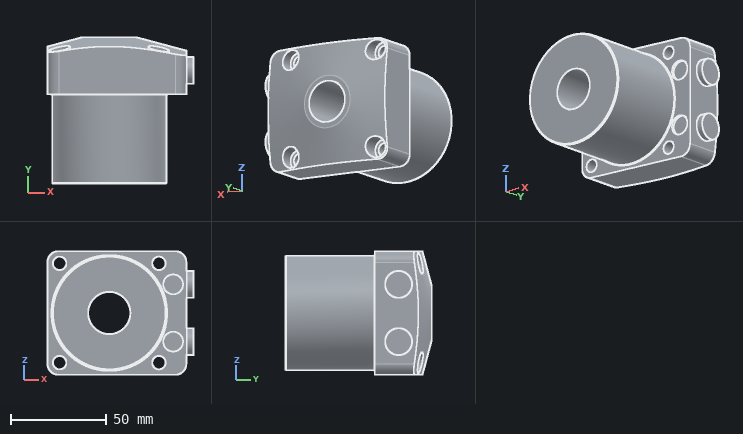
import cadquery as cq
import math


overall_length = 77.0
flange_thickness = 30.0
flange_height = 65.0
flange_left = 32.5
flange_right = 40.5
flange_width = flange_left + flange_right
flange_corner_radius = 6.0

back_flat_radius = 14.0
back_cone_angle = 15.0

barrel_length = overall_length - flange_thickness
barrel_diameter = 60.05
barrel_collar_diameter = 60.8
barrel_collar_length = 0.3
barrel_end_chamfer = 0.55
bore_diameter = 22.0

mounting_hole_diameter = 6.9
mounting_hole_spacing = 52.05
counterbore_diameter = 11.0
counterbore_floor_y = flange_thickness / 2

port_spacing = 30.0
recess_diameter = 10.4
recess_depth = 1.5
recess_x = 33.5
plug_diameter = 14.25
plug_length = 3.8
plug_y = 12.55
plug_chamfer_length = 0.5
plug_chamfer_inset = 0.115

port_heights = [-port_spacing / 2, port_spacing / 2]


def y_cylinder(diameter, start_y, length, x=0.0, z=0.0):
    """A cylinder along Y that starts at start_y and extends toward +Y."""
    base = cq.Plane(origin=(x, start_y, z), xDir=(1, 0, 0), normal=(0, 1, 0))
    return cq.Workplane(base).circle(diameter / 2).extrude(length)


def make_flange_block():
    """Rectangular flange with its four corners rounded along Y."""
    center_x = (flange_right - flange_left) / 2
    return (
        cq.Workplane("XY")
        .box(flange_width, flange_thickness, flange_height)
        .translate((center_x, flange_thickness / 2, 0))
        .edges("|Y")
        .fillet(flange_corner_radius)
    )


def make_back_envelope():
    """Solid of revolution about Y: a cone topped by the round flat of the flange's back."""
    outer_radius = math.hypot(flange_right, flange_height / 2)
    cone_drop = (outer_radius - back_flat_radius) * math.tan(math.radians(back_cone_angle))
    return (
        cq.Workplane("XY")
        .moveTo(0, 0)
        .lineTo(outer_radius, 0)
        .lineTo(outer_radius, flange_thickness - cone_drop)
        .lineTo(back_flat_radius, flange_thickness)
        .lineTo(0, flange_thickness)
        .close()
        .revolve(360, (0, 0, 0), (0, 1, 0))
    )


def make_barrel():
    """Barrel with a chamfered free end and a thin collar against the mounting face."""
    barrel = (
        y_cylinder(barrel_diameter, -barrel_length, barrel_length)
        .faces("<Y")
        .chamfer(barrel_end_chamfer)
    )
    collar = y_cylinder(barrel_collar_diameter, -barrel_collar_length, barrel_collar_length)
    return barrel.union(collar)


def make_housing():
    """Flange and barrel in one piece, with the bore, mounting holes and port recesses."""
    body = make_flange_block().intersect(make_back_envelope()).union(make_barrel())
    body = body.cut(y_cylinder(bore_diameter, -barrel_length, overall_length))

    counterbore_depth = flange_thickness - counterbore_floor_y
    hole_offset = mounting_hole_spacing / 2
    for x in (-hole_offset, hole_offset):
        for z in (-hole_offset, hole_offset):
            body = body.cut(y_cylinder(mounting_hole_diameter, 0, flange_thickness, x, z))
            body = body.cut(y_cylinder(counterbore_diameter, counterbore_floor_y, counterbore_depth, x, z))

    for z in port_heights:
        body = body.cut(y_cylinder(recess_diameter, 0, recess_depth, recess_x, z))
    return body


def make_plug(z):
    """Round plug that stands on the flange's +X side, tapering slightly at its outer rim."""
    radius = plug_diameter / 2
    return (
        cq.Workplane("XY")
        .moveTo(0, 0)
        .lineTo(0, radius)
        .lineTo(plug_length - plug_chamfer_length, radius)
        .lineTo(plug_length, radius - plug_chamfer_inset)
        .lineTo(plug_length, 0)
        .close()
        .revolve(360, (0, 0, 0), (1, 0, 0))
        .translate((flange_right, plug_y, z))
    )


housing = make_housing()
plugs = [make_plug(z) for z in port_heights]

result = cq.Compound.makeCompound([housing.val(), *[plug.val() for plug in plugs]])